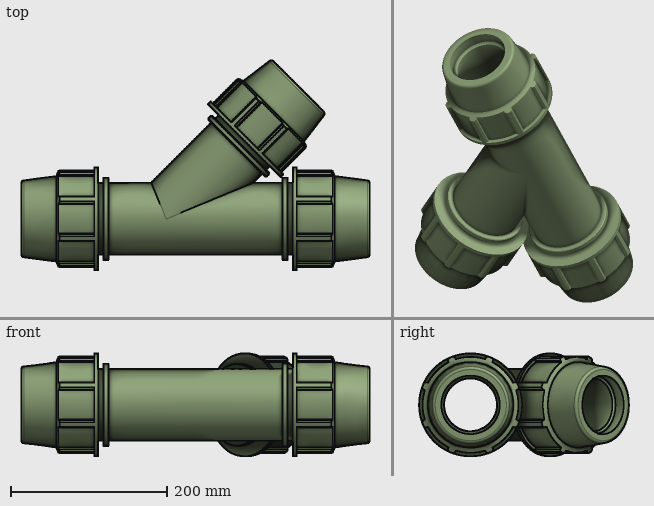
import cadquery as cq
import math

run_length = 446.0
branch_angle = 45.0
branch_root_x = -37.6
branch_length = 239.7

pipe_diameter = 92.4
bore_diameter = 67.5
socket_diameter = 75.0
socket_depth = 14.8
socket_flare_length = 1.8

collar_diameter = 105.6
collar_width = 7.2
collar_chamfer = 0.9
collar_setback = 112.0

nose_tip_diameter = 97.8
mouth_round = 3.8
nose_root_diameter = 109.6

nut_diameter = 132.0
nut_face_setback = 45.0
nut_shoulder_setback = 49.2
flange_front_setback = 93.3
flange_back_setback = 98.3

pocket_count = 8
pocket_floor_diameter = 122.7
pocket_floor_half_angle = 17.75
pocket_step_diameter = 127.3
pocket_step_half_angle = 17.9
pocket_rim_half_angle = 19.9


def disc(diameter, start_x, length):
    return cq.Workplane("YZ", origin=(start_x, 0, 0)).circle(diameter / 2).extrude(length)


def polar(radius, angle):
    return radius * math.cos(math.radians(angle)), radius * math.sin(math.radians(angle))


def make_nut(mouth_x):
    """Nose, nut and flange as one solid of revolution about X."""
    face_x = mouth_x - nut_face_setback
    back_x = mouth_x - flange_back_setback
    nut_radius = nut_diameter / 2
    blank = (
        cq.Workplane("XY")
        .moveTo(back_x, 0)
        .lineTo(back_x, nut_radius)
        .lineTo(mouth_x - nut_shoulder_setback, nut_radius)
        .lineTo(face_x, nose_root_diameter / 2)
        .lineTo(mouth_x, nose_tip_diameter / 2)
        .lineTo(mouth_x, 0)
        .close()
        .revolve(360, (0, 0, 0), (1, 0, 0))
    )
    return blank.faces(">X").edges().fillet(mouth_round)


def make_pockets(mouth_x):
    """Ring of pockets, from the flange to the nut face, that leaves the ribs."""
    start_x = mouth_x - flange_front_setback
    floor_radius = pocket_floor_diameter / 2
    rim_radius = nut_diameter / 2
    side_start = polar(floor_radius, -pocket_floor_half_angle)
    side_step = polar(pocket_step_diameter / 2, -pocket_step_half_angle)
    side_end = polar(rim_radius, -pocket_rim_half_angle)
    beyond = (2 * side_end[0] - side_step[0], 2 * side_end[1] - side_step[1])
    clear_radius = 2 * rim_radius - floor_radius
    pocket = (
        cq.Workplane("YZ", origin=(start_x, 0, 0))
        .moveTo(*side_start)
        .lineTo(*side_step)
        .lineTo(*beyond)
        .threePointArc((clear_radius, 0), (beyond[0], -beyond[1]))
        .lineTo(side_step[0], -side_step[1])
        .lineTo(side_start[0], -side_start[1])
        .threePointArc((floor_radius, 0), side_start)
        .close()
        .extrude(flange_front_setback - nut_face_setback)
    )
    pockets = pocket
    for index in range(1, pocket_count):
        turn = index * 360 / pocket_count
        pockets = pockets.union(pocket.rotate((0, 0, 0), (1, 0, 0), turn))
    return pockets


def make_arm(mouth_x):
    """Outer form of one arm: pipe from the origin along +X, collar and nut."""
    collar = disc(collar_diameter, mouth_x - collar_setback, collar_width)
    collar = collar.edges().chamfer(collar_chamfer)
    nut = make_nut(mouth_x).cut(make_pockets(mouth_x))
    pipe = disc(pipe_diameter, 0, mouth_x - flange_back_setback)
    return pipe.union(collar).union(nut)


def make_arm_bore(mouth_x):
    """Through bore from the origin along +X, flaring into a socket at the mouth."""
    bore_radius = bore_diameter / 2
    socket_radius = socket_diameter / 2
    socket_end_x = mouth_x - socket_depth
    return (
        cq.Workplane("XY")
        .moveTo(0, 0)
        .lineTo(0, bore_radius)
        .lineTo(socket_end_x - socket_flare_length, bore_radius)
        .lineTo(socket_end_x, socket_radius)
        .lineTo(mouth_x, socket_radius)
        .lineTo(mouth_x, 0)
        .close()
        .revolve(360, (0, 0, 0), (1, 0, 0))
    )


def place_branch(shape):
    return shape.rotate((0, 0, 0), (0, 0, 1), branch_angle).translate((branch_root_x, 0, 0))


def reverse(shape):
    return shape.rotate((0, 0, 0), (0, 0, 1), 180)


run_arm = make_arm(run_length / 2)
run_bore = make_arm_bore(run_length / 2)

body = run_arm.union(reverse(run_arm)).union(place_branch(make_arm(branch_length)))
bores = run_bore.union(reverse(run_bore)).union(place_branch(make_arm_bore(branch_length)))

result = body.cut(bores)